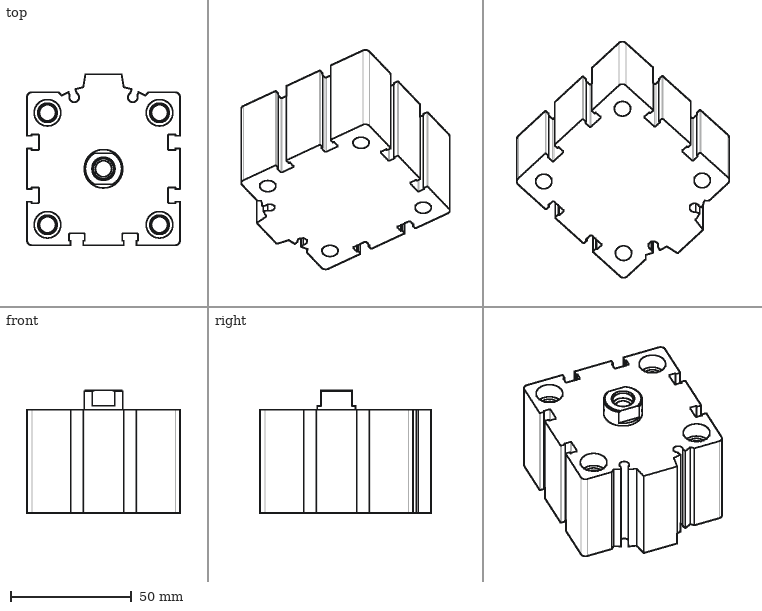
import cadquery as cq
import math

side = 63.5
overall_depth = 71.0
half_side = side / 2
housing_height = 42.95
corner_radius = 2.0

ridge_top_y = overall_depth - half_side
ridge_top_half_width = 7.5
ridge_base_half_width = 8.45
ridge_base_y = 33.9

shoulder_peak_x = 12.5
shoulder_peak_y = 32.9
valley_x = 17.3
valley_y = 30.4
flat_end_x = 18.6

slot_offset = 11.0
slot_neck_width = 5.2
slot_neck_depth = 2.0
slot_pocket_width = 6.4
slot_depth = 5.0
slot_pocket_radius = 0.35
slot_lip_radius = 0.25

groove_x = 12.15
groove_y = 29.6
groove_diameter = 4.0
groove_mouth_width = 3.0
groove_lean_angle = 19.0
groove_cut_length = 5.7

hole_offset = 23.2
hole_diameter = 6.7
counterbore_diameter = 11.0
counterbore_depth = 6.75
countersink_diameter = 8.0

rod_diameter = 16.0
rod_radius = rod_diameter / 2
rod_protrusion = 8.0
rod_embedded_length = 29.8
rod_chamfer = 0.5
flats_width = 13.0
flats_length = 6.5

entry_diameter = 9.6
recess_diameter = 8.4
recess_depth = 3.35
bore_diameter = 6.7
bore_depth = 19.9
drill_tip_angle = 120.0

rod_bottom_z = housing_height - rod_embedded_length
rod_top_z = housing_height + rod_protrusion


def housing_blank():
    """Solid profile with the ridge and shoulders, before slots and holes."""
    right_half = [
        (ridge_top_half_width, ridge_top_y),
        (ridge_base_half_width, ridge_base_y),
        (shoulder_peak_x, shoulder_peak_y),
        (valley_x, valley_y),
        (flat_end_x, half_side),
        (half_side, half_side),
        (half_side, -half_side),
    ]
    left_half = [(-x, y) for x, y in reversed(right_half)]
    blank = cq.Workplane("XY").polyline(right_half + left_half).close().extrude(housing_height)
    for x in (-half_side, half_side):
        for y in (-half_side, half_side):
            corner_edge = cq.selectors.NearestToPointSelector((x, y, housing_height / 2))
            blank = blank.edges(corner_edge).fillet(corner_radius)
    return blank


def t_slot(angle, offset):
    """Cutter for a T-slot in the -Y side, moved along the side by offset, then turned about Z."""
    neck_half = slot_neck_width / 2
    pocket_half = slot_pocket_width / 2
    face_y = -half_side
    neck_end_y = face_y + slot_neck_depth
    floor_y = face_y + slot_depth
    mouth_half = neck_half + slot_lip_radius
    lip_y = face_y + slot_lip_radius
    lip_mid = slot_lip_radius * (1 - math.sqrt(0.5))
    cutter = (
        cq.Workplane("XY")
        .moveTo(-mouth_half, face_y)
        .threePointArc((-neck_half - lip_mid, face_y + lip_mid), (-neck_half, lip_y))
        .lineTo(-neck_half, neck_end_y)
        .lineTo(-pocket_half, neck_end_y)
        .lineTo(-pocket_half, floor_y)
        .lineTo(pocket_half, floor_y)
        .lineTo(pocket_half, neck_end_y)
        .lineTo(neck_half, neck_end_y)
        .lineTo(neck_half, lip_y)
        .threePointArc((neck_half + lip_mid, face_y + lip_mid), (mouth_half, face_y))
        .close()
        .extrude(housing_height)
        .edges("|Z and >Y")
        .fillet(slot_pocket_radius)
    )
    return cutter.translate((offset, 0, 0)).rotate((0, 0, 0), (0, 0, 1), angle)


def sensor_groove(direction):
    """Cutter for the round groove on the +X (direction 1) or -X (direction -1) side of the ridge."""
    mouth = (
        cq.Workplane("XY")
        .center(0, groove_cut_length / 2)
        .rect(groove_mouth_width, groove_cut_length)
        .extrude(housing_height)
    )
    round_bottom = cq.Workplane("XY").circle(groove_diameter / 2).extrude(housing_height)
    upright = round_bottom.union(mouth)
    leaning = upright.rotate((0, 0, 0), (0, 0, 1), -direction * groove_lean_angle)
    return leaning.translate((direction * groove_x, groove_y, 0))


def mounting_hole():
    """Cutter for a counterbored through hole whose bore is countersunk at the counterbore floor."""
    hole_radius = hole_diameter / 2
    countersink_radius = countersink_diameter / 2
    counterbore_radius = counterbore_diameter / 2
    floor_z = housing_height - counterbore_depth
    countersink_depth = countersink_radius - hole_radius
    return (
        cq.Workplane("XZ")
        .polyline([
            (0, 0),
            (hole_radius, 0),
            (hole_radius, floor_z - countersink_depth),
            (countersink_radius, floor_z),
            (counterbore_radius, floor_z),
            (counterbore_radius, housing_height),
            (0, housing_height),
        ])
        .close()
        .revolve(360, (0, 0, 0), (0, 1, 0))
    )


def rod_seat():
    """Cutter for the blind hole that the rod sits in."""
    return (
        cq.Workplane("XY")
        .workplane(offset=rod_bottom_z)
        .circle(rod_radius)
        .extrude(rod_embedded_length)
    )


def make_housing():
    housing = housing_blank()
    for angle in (-90, 0, 90):
        for offset in (-slot_offset, slot_offset):
            housing = housing.cut(t_slot(angle, offset))
    for direction in (-1, 1):
        housing = housing.cut(sensor_groove(direction))
    for x in (-hole_offset, hole_offset):
        for y in (-hole_offset, hole_offset):
            housing = housing.cut(mounting_hole().translate((x, y, 0)))
    return housing.cut(rod_seat())


def rod_hole():
    """Cutter for the chamfered, stepped hole with a conical drill tip."""
    entry_radius = entry_diameter / 2
    recess_radius = recess_diameter / 2
    bore_radius = bore_diameter / 2
    recess_floor_z = rod_top_z - recess_depth
    bore_floor_z = rod_top_z - bore_depth
    tip_length = bore_radius / math.tan(math.radians(drill_tip_angle / 2))
    return (
        cq.Workplane("XZ")
        .polyline([
            (0, bore_floor_z - tip_length),
            (bore_radius, bore_floor_z),
            (bore_radius, recess_floor_z - (recess_radius - bore_radius)),
            (recess_radius, recess_floor_z),
            (recess_radius, rod_top_z - (entry_radius - recess_radius)),
            (entry_radius, rod_top_z),
            (0, rod_top_z),
        ])
        .close()
        .revolve(360, (0, 0, 0), (0, 1, 0))
    )


def make_rod():
    rod = (
        cq.Workplane("XY")
        .workplane(offset=rod_bottom_z)
        .circle(rod_radius)
        .extrude(rod_embedded_length + rod_protrusion)
        .faces(">Z")
        .chamfer(rod_chamfer)
    )
    flat_cut_depth = (rod_diameter - flats_width) / 2
    for direction in (-1, 1):
        flat = cq.Workplane("XY").box(rod_diameter, flat_cut_depth, flats_length)
        flat_y = direction * (flats_width + flat_cut_depth) / 2
        rod = rod.cut(flat.translate((0, flat_y, rod_top_z - flats_length / 2)))
    return rod.cut(rod_hole())


housing = make_housing()
rod = make_rod()

result = cq.Compound.makeCompound([housing.val(), rod.val()])